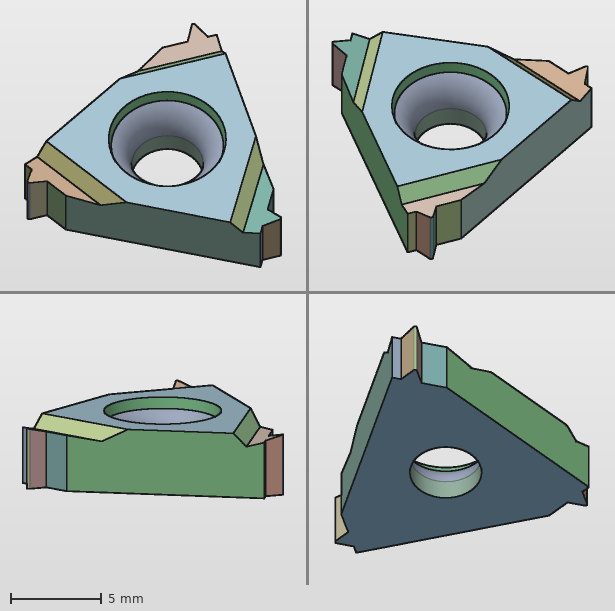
import cadquery as cq
import math

thickness = 3.65
edge_distance = 4.76
shoulder_distance = 6.44
tip_distance = 7.35
tooth_offset = 3.66
tooth_root_width = 1.18
tooth_flank_angle = 30.0

groove_start = 4.72
groove_depth = 0.74
rake_angle = 15.0

bore_radius = 1.98
mouth_radius = 3.25
seat_radius = 3.1
seat_depth = 0.62
bore_depth = 2.37

CORNER_ANGLES = (0, 120, 240)


def rotate_point(point, degrees):
    x, y = point
    c = math.cos(math.radians(degrees))
    s = math.sin(math.radians(degrees))
    return (x * c - y * s, x * s + y * c)


def insert_body():
    root_half = tooth_root_width / 2
    flank = math.radians(tooth_flank_angle)
    apex_distance = shoulder_distance + root_half / math.tan(flank)
    tip_radius = (apex_distance - tip_distance) / (1 / math.sin(flank) - 1)
    tip_half = tip_radius * math.cos(flank)
    tip_start_y = -tip_distance + tip_radius * (1 - math.sin(flank))
    shoulder_end = 2 * edge_distance - math.sqrt(3) * shoulder_distance

    first_corner = (-edge_distance, -shoulder_distance)
    outline = cq.Workplane("XY").moveTo(*first_corner)
    for angle in CORNER_ANGLES:
        if angle > 0:
            outline = outline.lineTo(*rotate_point(first_corner, angle))
        outline = (
            outline
            .lineTo(*rotate_point((-tooth_offset - root_half, -shoulder_distance), angle))
            .lineTo(*rotate_point((-tooth_offset - tip_half, tip_start_y), angle))
            .threePointArc(
                rotate_point((-tooth_offset, -tip_distance), angle),
                rotate_point((-tooth_offset + tip_half, tip_start_y), angle),
            )
            .lineTo(*rotate_point((-tooth_offset + root_half, -shoulder_distance), angle))
            .lineTo(*rotate_point((shoulder_end, -shoulder_distance), angle))
        )
    return outline.close().extrude(thickness)


def chip_groove():
    """Cutter for the -Y corner, with its profile in the YZ plane."""
    clearance = 0.74
    cutter_length = 4 * edge_distance
    floor_start = groove_start + groove_depth
    floor_z = thickness - groove_depth
    outer = tip_distance + clearance
    outer_z = floor_z + (outer - floor_start) * math.tan(math.radians(rake_angle))
    profile = [
        (-groove_start, thickness),
        (-floor_start, floor_z),
        (-outer, outer_z),
        (-outer, thickness + clearance),
        (-groove_start, thickness + clearance),
    ]
    return cq.Workplane("YZ").polyline(profile).close().extrude(cutter_length / 2, both=True)


def screw_hole():
    """Through bore with a convex flared seat and a slightly tapered mouth."""
    seat_z = thickness - seat_depth
    bore_z = thickness - bore_depth
    flare_width = seat_radius - bore_radius
    flare_height = bore_depth - seat_depth
    flare_radius = (flare_width**2 + flare_height**2) / (2 * flare_width)
    sweep = math.asin(flare_height / flare_radius)
    flare_middle = (
        bore_radius + flare_radius * (1 - math.cos(sweep / 2)),
        bore_z + flare_radius * math.sin(sweep / 2),
    )
    return (
        cq.Workplane("XZ")
        .moveTo(0, 0)
        .lineTo(bore_radius, 0)
        .lineTo(bore_radius, bore_z)
        .threePointArc(flare_middle, (seat_radius, seat_z))
        .lineTo(mouth_radius, thickness)
        .lineTo(0, thickness)
        .close()
        .revolve(360, (0, 0, 0), (0, 1, 0))
    )


result = insert_body().cut(screw_hole())
for corner_angle in CORNER_ANGLES:
    result = result.cut(chip_groove().rotate((0, 0, 0), (0, 0, 1), corner_angle))